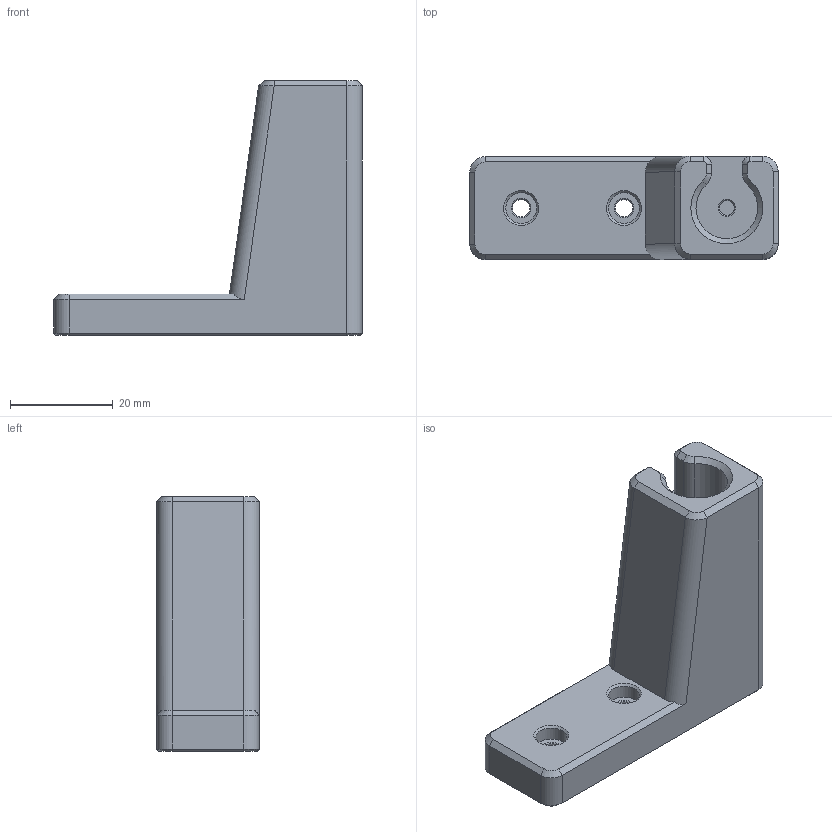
import cadquery as cq
import math

length = 60.0
width = 20.0
plate_thickness = 8.0
corner_radius = 3.0
top_chamfer = 1.0
bottom_chamfer = 0.4

total_height = 49.5
tower_top_length = 20.0
slope_angle = 8.0

socket_diameter = 12.0
socket_depth = 10.0
slot_width = 6.0
slot_mouth_radius = 1.5
slot_throat_radius = 3.0

pilot_diameter = 2.9
pilot_depth = 6.0

screw_diameter = 3.4
screw_positions = (10.0, 30.0)
head_diameter = 6.0
head_depth = 3.0
head_rim_chamfer = 0.4

small_rim_chamfer = 0.2

half_width = width / 2
half_slot = slot_width / 2
socket_floor = total_height - socket_depth
socket_radius = socket_diameter / 2
tower_top_x = length - tower_top_length
tower_bottom_x = tower_top_x - total_height * math.tan(math.radians(slope_angle))
socket_x = length - tower_top_length / 2
throat_y = math.sqrt(socket_radius**2 - half_slot**2)


def make_plate():
    """Rounded plate with chamfered top and bottom edges."""
    plate = cq.Workplane("XY").box(length, width, plate_thickness, centered=(False, True, False))
    plate = plate.edges("|Z").fillet(corner_radius)
    plate = plate.faces(">Z").chamfer(top_chamfer)
    return plate.faces("<Z").chamfer(bottom_chamfer)


def make_tower_block():
    """Block with one sloped face and all four upright corners rounded."""
    profile = [
        (tower_bottom_x, 0),
        (length, 0),
        (length, total_height),
        (tower_top_x, total_height),
    ]
    block = cq.Workplane("XZ").polyline(profile).close().extrude(half_width, both=True)
    return block.edges("not(|X or |Y)").fillet(corner_radius)


def make_socket():
    """Round socket with a straight slot running out through the +Y face."""
    floor = cq.Workplane("XY", origin=(socket_x, 0, socket_floor))
    bore = floor.circle(socket_radius).extrude(socket_depth)
    slot = floor.center(0, half_width / 2).rect(slot_width, half_width).extrude(socket_depth)
    return bore.union(slot)


def round_slot_edges(body, y, radius):
    """Fillet the pair of upright slot edges that lie at the given Y."""
    margin = 0.05
    edge_box = cq.selectors.BoxSelector(
        (socket_x - half_slot - margin, y - margin, socket_floor),
        (socket_x + half_slot + margin, y + margin, total_height),
    )
    return body.edges("|Z").edges(edge_box).fillet(radius)


def make_tower():
    """Tower with its slotted socket and chamfered top and bottom edges."""
    tower = make_tower_block().cut(make_socket())
    tower = round_slot_edges(tower, throat_y, slot_throat_radius)
    tower = round_slot_edges(tower, half_width, slot_mouth_radius)
    tower = tower.faces(">Z").chamfer(top_chamfer)
    return tower.faces("<Z").chamfer(bottom_chamfer)


def hole_cutter(x, top_z, diameter, depth, rim_chamfer):
    """Cutter for a vertical hole sunk from top_z, widened by a 45 degree rim chamfer."""
    radius = diameter / 2
    rim_radius = radius + rim_chamfer
    half_section = [
        (0, top_z),
        (rim_radius, top_z),
        (radius, top_z - rim_chamfer),
        (radius, top_z - depth),
        (0, top_z - depth),
    ]
    cutter = cq.Workplane("XZ").polyline(half_section).close().revolve(360, (0, 0), (0, 1))
    return cutter.translate((x, 0, 0))


def screw_cutter(x):
    """Cutter for a through hole with a flat-bottomed head recess."""
    seat_z = plate_thickness - head_depth
    recess = hole_cutter(x, plate_thickness, head_diameter, head_depth, head_rim_chamfer)
    shank = hole_cutter(x, seat_z, screw_diameter, seat_z, small_rim_chamfer)
    return recess.union(shank)


result = make_plate().union(make_tower())
for screw_x in screw_positions:
    result = result.cut(screw_cutter(screw_x))
result = result.cut(hole_cutter(socket_x, socket_floor, pilot_diameter, pilot_depth, small_rim_chamfer))